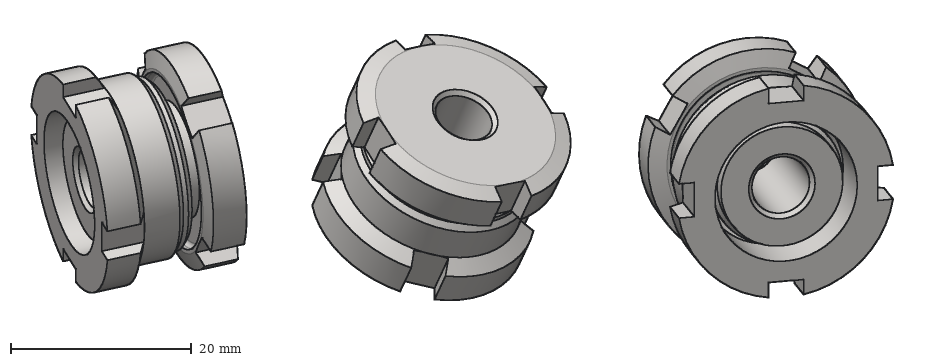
import cadquery as cq
import math


slot_count = 4
slot_width = 4.0
slot_floor_radius = 10.5

flange_radius = 12.42
flange_rim_length = 3.9
flange_length = 5.0
step_chamfer = 0.65
barrel_radius = 10.55
barrel_end = 9.82
pilot_radius = barrel_radius - step_chamfer
pilot_end = 11.07
counterbore_radius = 8.15
counterbore_depth = 6.0
thread_radius = 7.5
bore_chamfer = counterbore_radius - thread_radius

shank_start = 1.8
shank_chamfer = 0.52
shank_tip_length = 1.62
neck_start = pilot_end
neck_radius = 6.67
head_start = 11.87
head_end = 16.85
head_radius = 12.5
head_face_radius = 10.5
head_bevel = (head_radius - head_face_radius) * math.tan(math.radians(15))
recess_radius = 10.05
recess_depth = 1.0
recess_fillet = 0.5
through_hole_radius = 3.3
through_hole_chamfer = 0.5
head_slot_angle = 30.0


def revolve_about_y(points):
    """Turn a closed (radius, y) outline about the Y axis."""
    return cq.Workplane("XY").polyline(points).close().revolve(360, (0, 0, 0), (0, 1, 0))


def cut_wrench_slots(body, y_start, y_end, first_angle):
    """Cut flat-bottomed slots into the rim between two Y positions."""
    cutter_height = head_radius
    cutter = cq.Workplane("XY").box(
        slot_width, y_end - y_start, cutter_height, centered=(True, False, False)
    ).translate((0, y_start, slot_floor_radius))
    for index in range(slot_count):
        angle = first_angle + index * 360 / slot_count
        body = body.cut(cutter.rotate((0, 0, 0), (0, 1, 0), angle))
    return body


def make_housing():
    """Slotted flange with a stepped barrel and a counterbored bore."""
    body = revolve_about_y([
        (counterbore_radius, 0),
        (flange_radius, 0),
        (flange_radius, flange_rim_length),
        (barrel_radius, flange_length),
        (barrel_radius, barrel_end - step_chamfer),
        (pilot_radius, barrel_end),
        (pilot_radius, pilot_end - step_chamfer),
        (pilot_radius - step_chamfer, pilot_end),
        (thread_radius, pilot_end),
        (thread_radius, counterbore_depth + bore_chamfer),
        (counterbore_radius, counterbore_depth),
    ])
    return cut_wrench_slots(body, 0, flange_length, 0)


def make_head_recess():
    """Ring-shaped recess around the neck, rounded at the outer corner of its floor."""
    ring = revolve_about_y([
        (neck_radius, head_start),
        (recess_radius, head_start),
        (recess_radius, head_start + recess_depth),
        (neck_radius, head_start + recess_depth),
    ])
    outer_floor_edge = ring.faces(">Y").edges(cq.selectors.RadiusNthSelector(-1))
    return outer_floor_edge.fillet(recess_fillet)


def make_screw():
    """Hollow shank with a neck and a bevelled, recessed and slotted head."""
    body = revolve_about_y([
        (through_hole_radius + through_hole_chamfer, shank_start),
        (thread_radius - shank_chamfer, shank_start),
        (thread_radius - shank_chamfer, shank_start + shank_tip_length),
        (thread_radius, shank_start + shank_tip_length + shank_chamfer),
        (thread_radius, neck_start),
        (neck_radius, neck_start),
        (neck_radius, head_start),
        (head_face_radius, head_start),
        (head_radius, head_start + head_bevel),
        (head_radius, head_end - head_bevel),
        (head_face_radius, head_end),
        (through_hole_radius + through_hole_chamfer, head_end),
        (through_hole_radius, head_end - through_hole_chamfer),
        (through_hole_radius, shank_start + through_hole_chamfer),
    ])
    body = body.cut(make_head_recess())
    return cut_wrench_slots(body, head_start, head_end, head_slot_angle)


housing = make_housing()
screw = make_screw()
result = cq.Compound.makeCompound([housing.val(), screw.val()])